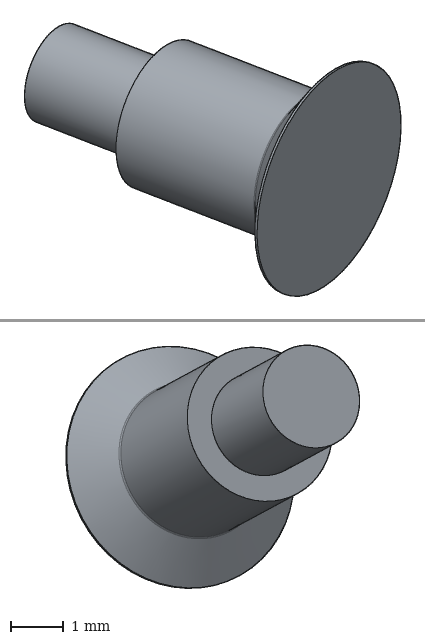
import cadquery as cq

total_length = 6.41

pin_diameter = 2.0
pin_length = 2.5
body_diameter = 3.0
body_end = 5.755

flare_diameter = 4.7
rim_width = 0.05
neck_fillet = 0.05

pin_radius = pin_diameter / 2
body_radius = body_diameter / 2
flare_radius = flare_diameter / 2
rim_start = total_length - rim_width

half_section = (
    cq.Workplane("XZ")
    .moveTo(0, 0)
    .lineTo(0, pin_radius)
    .lineTo(pin_length, pin_radius)
    .lineTo(pin_length, body_radius)
    .lineTo(body_end, body_radius)
    .lineTo(rim_start, flare_radius)
    .lineTo(total_length, flare_radius)
    .lineTo(total_length, 0)
    .close()
)
turned_part = half_section.revolve(360, (0, 0, 0), (1, 0, 0))

neck_edge = cq.NearestToPointSelector((body_end, 0, 0))
result = turned_part.edges(neck_edge).fillet(neck_fillet)